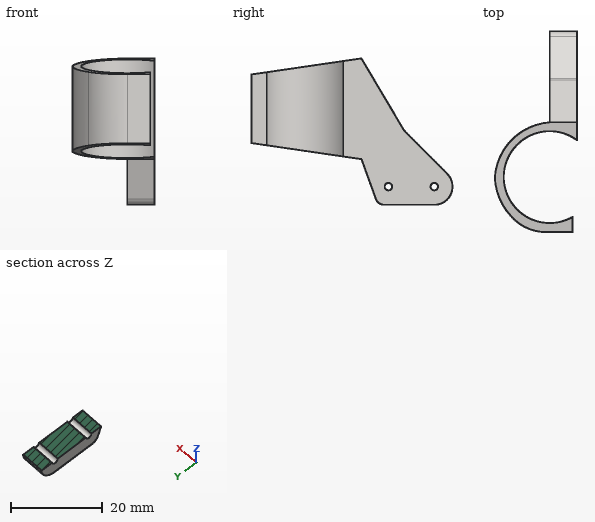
import cadquery as cq
import math

outer_radius = 12.0
inner_radius = 10.0
shallow_arc_radius = 13.0
full_arc_radius = 10.0
mount_side_x = 6.0
free_side_x = 5.0

half_span = math.radians(45 / 2)
half_chord = outer_radius * math.sin(half_span)
arc_center_offset = outer_radius * math.cos(half_span) - math.sqrt(full_arc_radius**2 - half_chord**2)
clip_min_y = -arc_center_offset * math.cos(half_span) - full_arc_radius

clip_mid_z = 17.0
bracket_side_height = 22.03
free_side_height = 15.0

hole_diameter = 1.6
hole_spacing = 10.0
end_radius = 4.0
overall_length = 43.9
end_hole_y = overall_length + clip_min_y - end_radius
inner_hole_y = end_hole_y - hole_spacing
bend_y = 21.35
bend_radius = 2.0
lower_corner_y = 15.58
lower_corner_radius = 2.0
bracket_top_z = clip_mid_z + bracket_side_height / 2
bracket_bottom_z = clip_mid_z - bracket_side_height / 2


def make_clip():
    """C-shaped ring with flat lips, cut to a tapering height."""
    mount_lip_y = math.sqrt(inner_radius**2 - mount_side_x**2)
    free_lip_y = -math.sqrt(inner_radius**2 - free_side_x**2)
    diagonal = outer_radius * math.sqrt(0.5)
    ring = (
        cq.Workplane("XY")
        .moveTo(0, outer_radius)
        .radiusArc((-outer_radius, 0), -shallow_arc_radius)
        .radiusArc((-diagonal, -diagonal), -shallow_arc_radius)
        .radiusArc((0, -outer_radius), -full_arc_radius)
        .lineTo(free_side_x, -outer_radius)
        .lineTo(free_side_x, free_lip_y)
        .threePointArc((-inner_radius, 0), (mount_side_x, mount_lip_y))
        .lineTo(mount_side_x, outer_radius)
        .close()
        .extrude(bracket_top_z)
    )
    side_outline = (
        cq.Workplane("YZ")
        .polyline([
            (outer_radius, bracket_bottom_z),
            (outer_radius, bracket_top_z),
            (clip_min_y, clip_mid_z + free_side_height / 2),
            (clip_min_y, clip_mid_z - free_side_height / 2),
        ])
        .close()
        .extrude(outer_radius, both=True)
    )
    return ring.intersect(side_outline)


def make_bracket():
    """Plate beside the clip with a rounded end and two screw holes."""
    tangent_offset = end_radius * math.sqrt(0.5)
    tangent_y = end_hole_y + tangent_offset
    bend_z = tangent_offset + tangent_y - bend_y
    plate = (
        cq.Workplane("YZ")
        .moveTo(outer_radius, bracket_top_z)
        .lineTo(bend_y, bend_z)
        .lineTo(tangent_y, tangent_offset)
        .threePointArc((end_hole_y + end_radius, 0), (end_hole_y, -end_radius))
        .lineTo(lower_corner_y, -end_radius)
        .lineTo(outer_radius, bracket_bottom_z)
        .close()
        .extrude(mount_side_x)
    )

    def edge_at(y, z):
        point = (mount_side_x / 2, y, z)
        return cq.selectors.NearestToPointSelector(point)

    plate = plate.edges("|X").edges(edge_at(bend_y, bend_z)).fillet(bend_radius)
    plate = (
        plate.edges("|X")
        .edges(edge_at(lower_corner_y, -end_radius))
        .fillet(lower_corner_radius)
    )
    holes = (
        cq.Workplane("YZ")
        .pushPoints([(end_hole_y, 0), (inner_hole_y, 0)])
        .circle(hole_diameter / 2)
        .extrude(mount_side_x)
    )
    return plate.cut(holes)


result = make_clip().union(make_bracket())